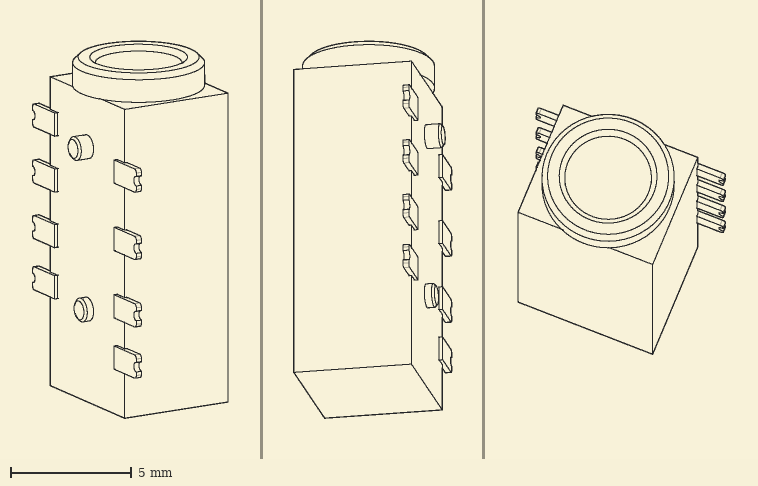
import cadquery as cq


total_height = 14.5
collar_height = 1.2
block_height = total_height - collar_height
block_width = 6.03
block_depth = 5.0
mount_face_y = -2.48
block_center_y = mount_face_y + block_depth / 2

collar_diameter = 5.5
bore_diameter = 3.6
rim_chamfer = 0.23
bore_floor = (block_depth - bore_diameter) / 2

peg_diameter = 1.0
peg_chamfer = 0.1
pegs = [(2.3, 0.7), (9.3, 0.4)]

terminal_span = 8.4
terminal_length = 1.8
terminal_width = 1.0
terminal_thickness = 0.25
terminal_recess = 0.1
terminal_corner_radius = 0.15
notch_radius = 0.2
left_terminal_drops = [1.9, 4.3, 6.7, 8.9]
right_terminal_drops = [2.8, 5.7, 8.6, 10.8]


def make_block():
    """Rectangular body of the housing."""
    return (
        cq.Workplane("XY")
        .center(0, block_center_y)
        .rect(block_width, block_depth)
        .extrude(block_height)
    )


def make_collar():
    """Round collar on the block top, chamfered around its outer rim."""
    return (
        cq.Workplane("XY", origin=(0, 0, block_height))
        .circle(collar_diameter / 2)
        .extrude(collar_height)
        .faces(">Z")
        .chamfer(rim_chamfer)
    )


def make_bore():
    """Blind bore from the collar top, with a conical lead-in, as a cutting solid."""
    bore_radius = bore_diameter / 2
    mouth_radius = bore_radius + rim_chamfer
    return (
        cq.Workplane("XZ")
        .moveTo(0, bore_floor)
        .lineTo(bore_radius, bore_floor)
        .lineTo(bore_radius, total_height - rim_chamfer)
        .lineTo(mouth_radius, total_height)
        .lineTo(0, total_height)
        .close()
        .revolve(360, (0, 0), (0, 1))
    )


def make_peg(drop, length):
    """Locating peg standing on the mounting face, chamfered at its tip."""
    return (
        cq.Workplane("XZ", origin=(0, mount_face_y, block_height - drop))
        .circle(peg_diameter / 2)
        .extrude(length)
        .faces("<Y")
        .chamfer(peg_chamfer)
    )


def make_terminal(side, drop):
    """Flat terminal; side is -1 for the -X row and +1 for the +X row."""
    tip_x = side * terminal_span / 2
    center_x = tip_x - side * terminal_length / 2
    center_z = block_height - drop
    inner_y = mount_face_y + terminal_recess
    blade = (
        cq.Workplane("XZ", origin=(center_x, inner_y, center_z))
        .rect(terminal_length, terminal_width)
        .extrude(terminal_thickness)
        .edges("|Y and >X" if side > 0 else "|Y and <X")
        .fillet(terminal_corner_radius)
    )
    notch = (
        cq.Workplane("XZ", origin=(tip_x, inner_y, center_z))
        .circle(notch_radius)
        .extrude(terminal_thickness)
    )
    return blade.cut(notch)


terminals = [make_terminal(-1, drop) for drop in left_terminal_drops]
terminals += [make_terminal(1, drop) for drop in right_terminal_drops]

housing = make_block().union(make_collar())
for peg_drop, peg_length in pegs:
    housing = housing.union(make_peg(peg_drop, peg_length))
housing = housing.cut(make_bore())
for terminal in terminals:
    housing = housing.cut(terminal)

result = cq.Compound.makeCompound([housing.val(), *[terminal.val() for terminal in terminals]])